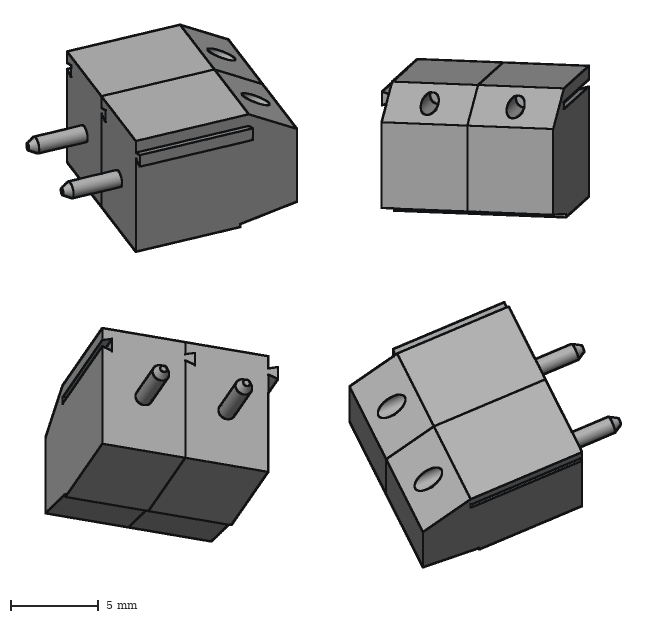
import cadquery as cq

pole_count = 2
overall_width = 10.6
overall_length = 13.5
housing_height = 7.6

pin_length = 3.5
pin_diameter = 1.0
pin_tip_diameter = 0.42
pin_taper_length = 0.5
pin_height = 3.5

rail_depth = 0.6
rail_root_height = 0.4
rail_end_height = 0.8
rail_center_drop = 1.0

bevel_run = 3.0
bevel_drop = 1.8
relief_run = 3.52
relief_step = 0.2
relief_rise = 0.82

test_hole_diameter = 1.0
test_hole_end_gap = 1.0

pole_pitch = (overall_width - rail_depth) / pole_count
housing_length = overall_length - pin_length
bevel_start = housing_length - bevel_run
rail_length = bevel_start
rail_height = housing_height - rail_center_drop
test_hole_height = housing_height - bevel_drop / 2
test_hole_depth = bevel_run + test_hole_end_gap


def dovetail(x_root):
    """Dovetail bar that widens toward +X, running back from the pin face."""
    x_end = x_root + rail_depth
    return (
        cq.Workplane("XZ")
        .moveTo(x_root, rail_height - rail_root_height / 2)
        .lineTo(x_end, rail_height - rail_end_height / 2)
        .lineTo(x_end, rail_height + rail_end_height / 2)
        .lineTo(x_root, rail_height + rail_root_height / 2)
        .close()
        .extrude(-rail_length)
    )


def housing_block(x_left):
    """Plain housing: the side profile extruded over one pole pitch."""
    relief_start = housing_length - relief_run
    profile = [
        (0, 0),
        (relief_start, 0),
        (relief_start, relief_step),
        (housing_length, relief_rise),
        (housing_length, housing_height - bevel_drop),
        (bevel_start, housing_height),
        (0, housing_height),
    ]
    return cq.Workplane("YZ", origin=(x_left, 0, 0)).polyline(profile).close().extrude(pole_pitch)


def test_hole(x_center):
    """Blind round hole going forward from the rear through the bevel."""
    return (
        cq.Workplane("XZ", origin=(x_center, housing_length, test_hole_height))
        .circle(test_hole_diameter / 2)
        .extrude(test_hole_depth)
    )


def make_housing(x_left):
    """One pole housing, with its groove on -X and its rail on +X."""
    block = housing_block(x_left)
    grooved = block.cut(dovetail(x_left)).cut(test_hole(x_left + pole_pitch / 2))
    return grooved.union(dovetail(x_left + pole_pitch))


def make_pin(x_center):
    """Round solder pin with a tapered tip, standing on the pin face toward -Y."""
    shank_length = pin_length - pin_taper_length
    shank = (
        cq.Workplane("XZ", origin=(x_center, 0, pin_height))
        .circle(pin_diameter / 2)
        .extrude(shank_length)
    )
    tip = (
        cq.Workplane("XZ", origin=(x_center, -shank_length, pin_height))
        .circle(pin_diameter / 2)
        .workplane(offset=pin_taper_length)
        .circle(pin_tip_diameter / 2)
        .loft(ruled=True)
    )
    return shank.union(tip)


housings = []
pins = []
for pole in range(pole_count):
    pole_left = pole * pole_pitch
    housings.append(make_housing(pole_left).solids().val())
    pins.append(make_pin(pole_left + pole_pitch / 2).solids().val())

result = cq.Compound.makeCompound([*housings, *pins])